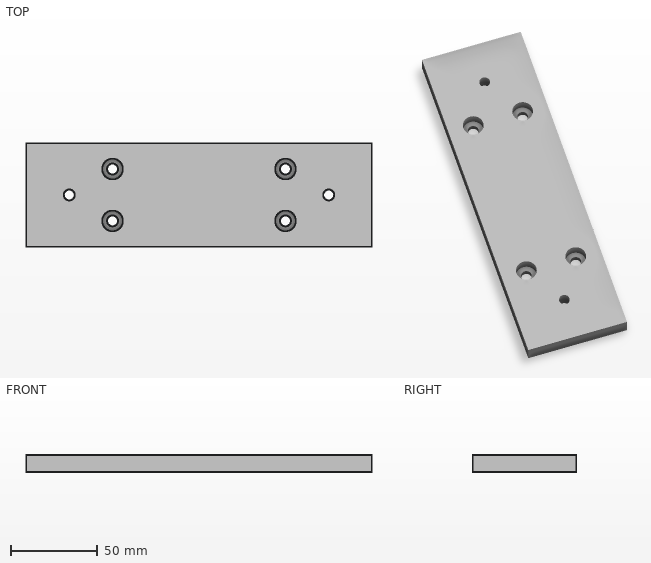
import cadquery as cq

length = 200.0
width = 60.0
thickness = 10.0

screw_spacing_x = length / 2
screw_spacing_y = width / 2
hole_diameter = 6.2
counterbore_diameter = 12.0
counterbore_depth = 6.5

end_hole_spacing = 150.0


def make_plate():
    return cq.Workplane("XY").box(length, width, thickness)


def cut_screw_holes(plate):
    return (
        plate.faces(">Z").workplane()
        .rarray(screw_spacing_x, screw_spacing_y, 2, 2)
        .cboreHole(hole_diameter, counterbore_diameter, counterbore_depth)
    )


def cut_end_holes(plate):
    return (
        plate.faces(">Z").workplane()
        .rarray(end_hole_spacing, 2, 2, 1)
        .hole(hole_diameter)
    )


result = cut_end_holes(cut_screw_holes(make_plate()))